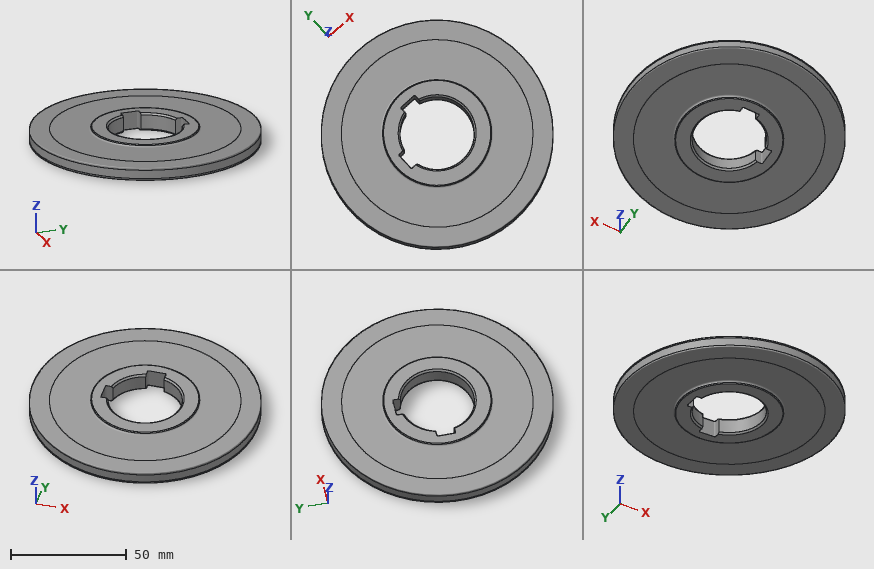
import cadquery as cq

outer_radius = 50.0
hub_radius = 23.5
hub_thickness = 8.0
hub_chamfer = 0.4
hub_root_fillet = 0.75
web_thickness = 5.6

bore_radius = 16.0
bore_chamfer = 0.8
keyway_width = 8.2
keyway_reach = 18.8
keyway_corner_radius = 0.5
keyway_angles = (90, 180)

lining_inner_radius = 41.3
lining_thickness = 0.9
lining_edge_fillet = 0.3

rim_half_thickness = web_thickness / 2 - lining_thickness


def centred_disc(radius, thickness):
    """Disc on the Z axis, centred on the XY plane."""
    return cq.Workplane("XY").workplane(offset=-thickness / 2).circle(radius).extrude(thickness)


def make_bore():
    """Through bore with a chamfer at both mouths."""
    half_thickness = hub_thickness / 2
    mouth_radius = bore_radius + bore_chamfer
    return (
        cq.Workplane("XZ")
        .moveTo(0, -half_thickness)
        .lineTo(mouth_radius, -half_thickness)
        .lineTo(bore_radius, -half_thickness + bore_chamfer)
        .lineTo(bore_radius, half_thickness - bore_chamfer)
        .lineTo(mouth_radius, half_thickness)
        .lineTo(0, half_thickness)
        .close()
        .revolve(360, (0, 0, 0), (0, 1, 0))
    )


def make_keyway(angle):
    """Slot from the bore axis outwards, with rounded floor corners."""
    return (
        cq.Workplane("XY")
        .box(keyway_reach, keyway_width, hub_thickness, centered=(False, True, True))
        .edges("|Z and >X")
        .fillet(keyway_corner_radius)
        .rotate((0, 0, 0), (0, 0, 1), angle)
    )


def make_core():
    """Hub, web and thinner rim in one piece."""
    web = centred_disc(lining_inner_radius, web_thickness)
    hub = centred_disc(hub_radius, hub_thickness).faces("|Z").edges().chamfer(hub_chamfer)
    web_and_hub = web.union(hub)

    root_plane_height = web_thickness / 2
    root_margin = 0.1
    root_reach = hub_radius + root_margin
    for height in (-root_plane_height, root_plane_height):
        root = cq.selectors.BoxSelector(
            (-root_reach, -root_reach, height - root_margin),
            (root_reach, root_reach, height + root_margin),
            boundingbox=True,
        )
        web_and_hub = web_and_hub.edges(root).fillet(hub_root_fillet)

    core = web_and_hub.union(centred_disc(outer_radius, 2 * rim_half_thickness))
    core = core.cut(make_bore())
    for angle in keyway_angles:
        core = core.cut(make_keyway(angle))
    return core


def make_lining(side):
    """Flat ring on the rim; side is +1 for the upper face, -1 for the lower."""
    ring = (
        cq.Workplane("XY")
        .workplane(offset=rim_half_thickness)
        .circle(outer_radius)
        .circle(lining_inner_radius)
        .extrude(lining_thickness)
        .faces(">Z")
        .edges(cq.selectors.RadiusNthSelector(-1))
        .fillet(lining_edge_fillet)
    )
    return ring if side > 0 else ring.mirror("XY")


core = make_core()
linings = [make_lining(side) for side in (1, -1)]

result = cq.Compound.makeCompound([core.val(), *[lining.val() for lining in linings]])